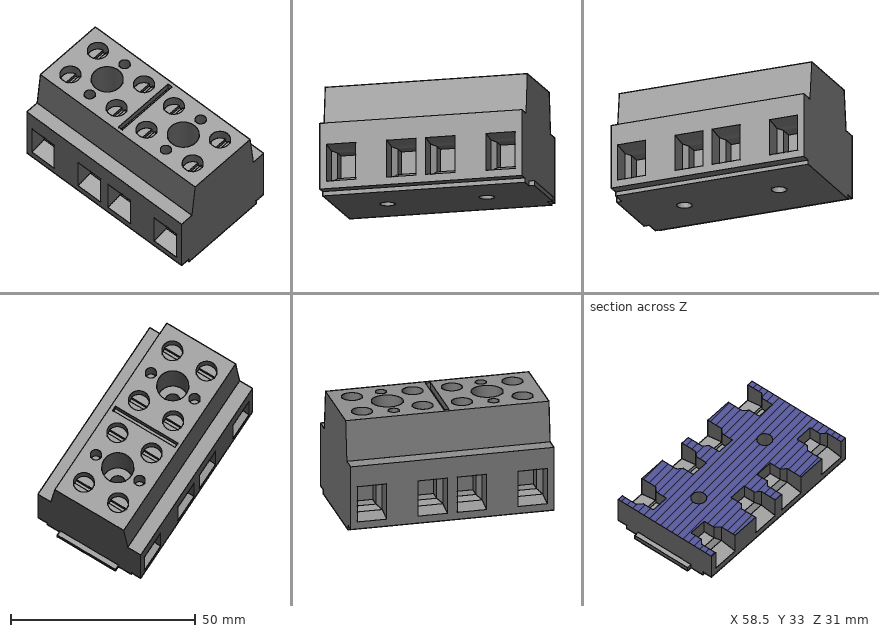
import cadquery as cq


BODY_LENGTH = 57.0
BODY_DEPTH = 33.0
BODY_HEIGHT = 31.0
STEP_HEIGHT = 19.6
TOWER_BASE_DEPTH = 24.7
TOWER_TOP_DEPTH = 22.1
FOOT_DEPTH = 27.0
FOOT_HEIGHT = 1.2

TAB_PROJECTION = 1.5
TAB_WIDTH = 18.7
TAB_HEIGHT = 1.35

MODULE_PITCH = 28.0
POLE_PITCH = 17.0
MODULE_X = [-MODULE_PITCH / 2, MODULE_PITCH / 2]
POLE_X = [x + side * POLE_PITCH / 2 for x in MODULE_X for side in (-1, 1)]

SCREW_DIAMETER = 5.7
SCREW_RECESS_DEPTH = 3.0
SCREW_OFFSET_Y = 5.5
DRIVER_SLOT_WIDTH = 1.15
DRIVER_SLOT_DEPTH = 1.0

MOUNT_DIAMETER = 4.2
COUNTERBORE_DIAMETER = 8.7
COUNTERBORE_DEPTH = 12.0
TEST_HOLE_DIAMETER = 3.05
TEST_HOLE_DEPTH = 5.0
TEST_HOLE_OFFSET_Y = 7.0

GROOVE_WIDTH = 1.45
GROOVE_LENGTH = 20.0
GROOVE_DEPTH = 2.0

MOUTH_WIDTH = 8.2
MOUTH_BOTTOM = 3.3
MOUTH_TOP = 13.6
MOUTH_DEPTH = 4.9
FUNNEL_BOTTOM = 4.2
FUNNEL_TOP = 12.95
PASSAGE_WIDTH = 5.45
PASSAGE_BOTTOM = 5.4
PASSAGE_TOP = 12.55
PASSAGE_DEPTH = 3.5
FUNNEL_DEPTH = (MOUTH_WIDTH - PASSAGE_WIDTH) / 2


def make_housing():
    half_profile = [
        (0, 0),
        (FOOT_DEPTH / 2, 0),
        (FOOT_DEPTH / 2, FOOT_HEIGHT),
        (BODY_DEPTH / 2, FOOT_HEIGHT),
        (BODY_DEPTH / 2, STEP_HEIGHT),
        (TOWER_BASE_DEPTH / 2, STEP_HEIGHT),
        (TOWER_TOP_DEPTH / 2, BODY_HEIGHT),
        (0, BODY_HEIGHT),
    ]
    profile = cq.Workplane("YZ").polyline(half_profile).mirrorY()
    return profile.extrude(BODY_LENGTH / 2, both=True)


def make_end_tab():
    reach = BODY_LENGTH / 2 + TAB_PROJECTION
    tab = cq.Workplane("XY", origin=(-reach / 2, 0, 0)).rect(reach, TAB_WIDTH)
    return tab.extrude(TAB_HEIGHT)


def top_holes(points, diameter, depth):
    holes = cq.Workplane("XY", origin=(0, 0, BODY_HEIGHT)).pushPoints(points)
    return holes.circle(diameter / 2).extrude(-depth)


def make_screw_recesses():
    points = [(x, side * SCREW_OFFSET_Y) for x in POLE_X for side in (-1, 1)]
    recesses = top_holes(points, SCREW_DIAMETER, SCREW_RECESS_DEPTH)
    slot_bottom = SCREW_RECESS_DEPTH + DRIVER_SLOT_DEPTH
    screws = top_holes(points, SCREW_DIAMETER, slot_bottom)
    slots = (
        cq.Workplane("XY", origin=(0, 0, BODY_HEIGHT))
        .pushPoints(points)
        .rect(DRIVER_SLOT_WIDTH, SCREW_DIAMETER)
        .extrude(-slot_bottom)
        .intersect(screws)
    )
    return recesses.union(slots)


def make_mounting_holes():
    points = [(x, 0) for x in MODULE_X]
    through = top_holes(points, MOUNT_DIAMETER, BODY_HEIGHT)
    return through.union(top_holes(points, COUNTERBORE_DIAMETER, COUNTERBORE_DEPTH))


def make_test_holes():
    points = [(x, side * TEST_HOLE_OFFSET_Y) for x in MODULE_X for side in (-1, 1)]
    return top_holes(points, TEST_HOLE_DIAMETER, TEST_HOLE_DEPTH)


def make_groove():
    groove = cq.Workplane("XY", origin=(0, 0, BODY_HEIGHT)).rect(GROOVE_WIDTH, GROOVE_LENGTH)
    return groove.extrude(-GROOVE_DEPTH)


def rectangle_at(x, y, width, bottom, top):
    left = x - width / 2
    right = x + width / 2
    corners = [(left, y, bottom), (right, y, bottom), (right, y, top), (left, y, top)]
    return cq.Wire.makePolygon([cq.Vector(*corner) for corner in corners], close=True)


def make_wire_entry(x):
    mouth_y = -BODY_DEPTH / 2
    funnel_y = mouth_y + MOUTH_DEPTH
    passage_y = funnel_y + FUNNEL_DEPTH
    end_y = passage_y + PASSAGE_DEPTH
    sections = [
        rectangle_at(x, mouth_y, MOUTH_WIDTH, MOUTH_BOTTOM, MOUTH_TOP),
        rectangle_at(x, funnel_y, MOUTH_WIDTH, FUNNEL_BOTTOM, FUNNEL_TOP),
        rectangle_at(x, passage_y, PASSAGE_WIDTH, PASSAGE_BOTTOM, PASSAGE_TOP),
        rectangle_at(x, end_y, PASSAGE_WIDTH, PASSAGE_BOTTOM, PASSAGE_TOP),
    ]
    return cq.Workplane("XY").add(cq.Solid.makeLoft(sections, True))


result = make_housing().union(make_end_tab())
result = result.cut(make_screw_recesses())
result = result.cut(make_mounting_holes())
result = result.cut(make_test_holes())
result = result.cut(make_groove())

for pole_x in POLE_X:
    entry = make_wire_entry(pole_x)
    result = result.cut(entry)
    result = result.cut(entry.mirror("XZ"))